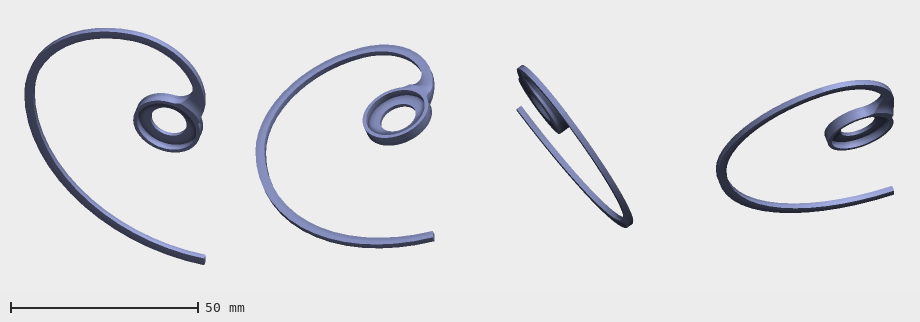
import cadquery as cq
import math

band_width = 2.5
band_thickness = 1.5
ring_height = 2 * band_thickness
ring_radius = 9.3
hole_diameter = 10.0
recess_diameter = 16.5
recess_depth = 2.0

tail_radius = 50.0
crown_radius = 30.0
neck_radius = 20.0
tail_center = (10.0, 0)
crown_center = (tail_center[0] - tail_radius + crown_radius, 0)
neck_center = (crown_center[0], crown_radius - neck_radius)

corner_radius = 5.0
ramp_radius = 5.0
ramp_outer_radius = 13.8


def polar(center, radius, degrees):
    angle = math.radians(degrees)
    return (center[0] + radius * math.cos(angle), center[1] + radius * math.sin(angle))


def toward(start, target, distance):
    """Point at a distance from start in the direction of target."""
    length = math.dist(start, target)
    return tuple(s + (t - s) * distance / length for s, t in zip(start, target))


def neck_end(inset):
    """Point on the neck, inset from its outer arc, level with the ring axis."""
    radius = neck_radius - inset
    return (neck_center[0] + math.sqrt(radius**2 - neck_center[1] ** 2), 0)


def neck_middle(inset):
    """Point halfway around the neck's upper quarter, inset from its outer arc."""
    return polar(neck_center, neck_radius - inset, 45)


def hook_outline():
    """Outline of the constant-width band from the tail tip to inside the ring."""
    tail_inner = tail_radius - band_width
    crown_inner = crown_radius - band_width
    neck_inner = neck_radius - band_width
    return (
        cq.Workplane("XZ")
        .moveTo(*polar(tail_center, tail_radius, 270))
        .threePointArc(polar(tail_center, tail_radius, 225), polar(tail_center, tail_radius, 180))
        .threePointArc(polar(crown_center, crown_radius, 135), polar(crown_center, crown_radius, 90))
        .threePointArc(neck_middle(0), neck_end(0))
        .lineTo(*neck_end(band_width))
        .threePointArc(neck_middle(band_width), polar(neck_center, neck_inner, 90))
        .threePointArc(polar(crown_center, crown_inner, 135), polar(crown_center, crown_inner, 180))
        .threePointArc(polar(tail_center, tail_inner, 225), polar(tail_center, tail_inner, 270))
        .close()
    )


def web_outline():
    """Outline filling the rounded inside corner between neck and ring."""
    neck_distance = neck_radius - band_width - corner_radius
    ring_distance = ring_radius + corner_radius
    spacing = math.hypot(*neck_center)
    along = (ring_distance**2 - neck_distance**2 + spacing**2) / (2 * spacing)
    swing = math.degrees(math.acos(along / ring_distance))
    direction = math.degrees(math.atan2(neck_center[1], neck_center[0]))
    corner_center = polar((0, 0), ring_distance, direction - swing)

    ring_tangent = toward((0, 0), corner_center, ring_radius)
    neck_tangent = toward(neck_center, corner_center, neck_radius - band_width)
    tangent_middle = tuple((a + b) / 2 for a, b in zip(ring_tangent, neck_tangent))
    corner_middle = toward(corner_center, tangent_middle, corner_radius)
    half_width = band_width / 2
    return (
        cq.Workplane("XZ")
        .lineTo(*ring_tangent)
        .threePointArc(corner_middle, neck_tangent)
        .lineTo(*polar(neck_center, neck_radius - half_width, 0))
        .lineTo(*neck_end(half_width))
        .close()
    )


def make_ramp_envelope():
    """Solid of revolution about the ring axis with a concave flank."""
    rise = ring_height - band_thickness

    def flank(height):
        return ramp_outer_radius - math.sqrt(ramp_radius**2 - (ramp_radius - height) ** 2)

    return (
        cq.Workplane("XY")
        .lineTo(ramp_outer_radius, 0)
        .lineTo(ramp_outer_radius, -band_thickness)
        .threePointArc((flank(rise / 2), -band_thickness - rise / 2), (flank(rise), -ring_height))
        .lineTo(0, -ring_height)
        .close()
        .revolve(360, (0, 0, 0), (0, 1, 0))
    )


hook = hook_outline().extrude(band_thickness)
ring = cq.Workplane("XZ").circle(ring_radius).extrude(ring_height)
neck_blend = (
    hook_outline().extrude(ring_height)
    .union(web_outline().extrude(ring_height))
    .intersect(make_ramp_envelope())
)
web = web_outline().extrude(band_thickness)
result = hook.union(web).union(ring).union(neck_blend)

hole = cq.Workplane("XZ").circle(hole_diameter / 2).extrude(ring_height)
recess = (
    cq.Workplane("XZ", origin=(0, recess_depth - ring_height, 0))
    .circle(recess_diameter / 2)
    .extrude(recess_depth)
)
result = result.cut(hole).cut(recess)